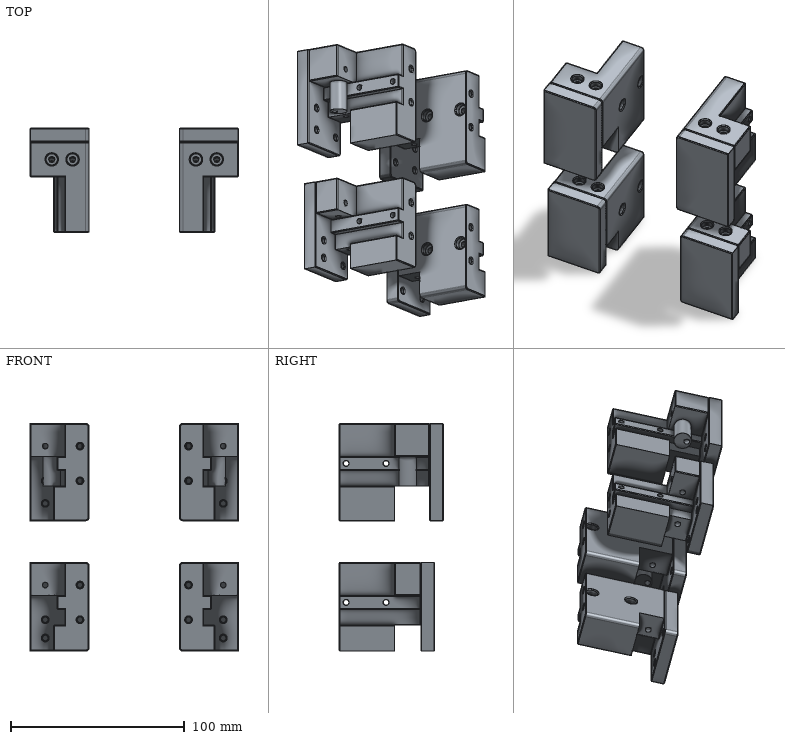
import cadquery as cq

overall_width = 120.0
overall_height = 131.0
unit_width = 34.0

leg_length = 32.0
leg_face_x = 20.0
rail_face_x = 15.5
foot_face_x = 13.5
block_height = 19.0
rail_bottom = 27.0
foot_top = 36.0
plate_thickness = 8.0
edge_chamfer = 0.5
inner_radius = 2.0

hole_diameter = 3.2
counterbore_diameter = 6.5
counterbore_depth = 3.5
mouth_chamfer = 0.6
screw_xs = (12.5, 24.5)
bolt_outer_x = 8.75
bolt_inner_x = bolt_outer_x + 20.0
bolt_upper_z = -13.0
bolt_lower_z = bolt_upper_z - 20.0
rail_hole_z = -(block_height + rail_bottom) / 2
rail_hole_ys = (4.0, 27.0)
plate_hole_depth = 6.0

post_diameter = 10.0
post_xs = (12.5, leg_face_x + post_diameter / 2)
post_y = leg_length + 7.5
post_top = -6.0

tall = dict(height=56.0, block_depth=20.0, plate_hole_z=-46.0, has_posts=True)
short = dict(height=51.0, block_depth=15.0, plate_hole_z=-43.5, has_posts=False)

backward = (0, 1, 0)
downward = (0, 0, -1)
inward = (1, 0, 0)
outward = (-1, 0, 0)


def slab(x_range, y_range, z_range):
    """Box between two X, two Y and two Z limits."""
    (x0, x1), (y0, y1), (z0, z1) = x_range, y_range, z_range
    return cq.Workplane("XY").box(x1 - x0, y1 - y0, z1 - z0, centered=False).translate((x0, y0, z0))


def rod(start, direction, diameter, length):
    """Cylinder from a start point along a direction."""
    cylinder = cq.Solid.makeCylinder(diameter / 2, length, cq.Vector(*start), cq.Vector(*direction))
    return cq.Workplane(cylinder)


def drill(start, direction, diameter, length):
    """Hole cutter with a chamfered mouth at its start point."""
    radius = diameter / 2
    mouth = cq.Solid.makeCone(
        radius + mouth_chamfer, radius, mouth_chamfer, cq.Vector(*start), cq.Vector(*direction)
    )
    return rod(start, direction, diameter, length).union(cq.Workplane(mouth))


def leg_blank(unit):
    """Leg with its rail and foot; the foot ends where the block begins."""
    height = unit["height"]
    back = leg_length + unit["block_depth"]
    section = [
        (leg_face_x, 0),
        (unit_width, 0),
        (unit_width, -height),
        (foot_face_x, -height),
        (foot_face_x, -foot_top),
        (leg_face_x, -foot_top),
        (leg_face_x, -rail_bottom),
        (rail_face_x, -rail_bottom),
        (rail_face_x, -block_height),
        (leg_face_x, -block_height),
    ]
    leg = cq.Workplane("XZ").polyline(section).close().extrude(-back)
    leg = leg.edges("|Y and >X").fillet(inner_radius)
    outer_corners = [
        (leg_face_x, 0),
        (rail_face_x, -block_height),
        (rail_face_x, -rail_bottom),
        (foot_face_x, -foot_top),
    ]
    for x, z in outer_corners:
        corner_edge = cq.selectors.NearestToPointSelector((x, back / 2, z))
        leg = leg.edges(corner_edge).chamfer(edge_chamfer)
    leg = leg.faces("<Y").chamfer(edge_chamfer)
    return leg.cut(slab((0, unit_width), (leg_length, back), (-height, -foot_top)))


def bracket_blank(unit):
    """Leg and block joined, without holes."""
    back = leg_length + unit["block_depth"]
    block = slab((0, unit_width - inner_radius), (leg_length, back), (-block_height, 0))
    block = block.edges("<X or (<Y and >Z)").chamfer(edge_chamfer)
    blank = leg_blank(unit).union(block)
    return blank.faces(">Y").chamfer(edge_chamfer)


def bolt_holes(unit):
    """Cutters from front to back: a plain one in the block and two in the end of the leg."""
    depth = unit["block_depth"]
    cutters = [rod((bolt_outer_x, leg_length, bolt_upper_z), backward, hole_diameter, depth)]
    for z in (bolt_upper_z, bolt_lower_z):
        cutters.append(drill((bolt_inner_x, 0, z), backward, hole_diameter, leg_length + depth))
    return cutters


def screw_holes(unit):
    """Cutters of the counterbored screw holes, from the top down along the middle of the block."""
    y = leg_length + unit["block_depth"] / 2
    cutters = []
    for x in screw_xs:
        cutters.append(drill((x, y, 0), downward, counterbore_diameter, counterbore_depth))
        cutters.append(rod((x, y, 0), downward, hole_diameter, foot_top))
    return cutters


def rail_holes():
    """Cutters through rail and leg, counterbored on the inner side."""
    cutters = []
    for y in rail_hole_ys:
        cutters.append(rod((0, y, rail_hole_z), inward, hole_diameter, unit_width))
        inner_point = (unit_width, y, rail_hole_z)
        cutters.append(drill(inner_point, outward, counterbore_diameter, counterbore_depth))
    return cutters


def make_bracket(unit):
    """Bracket; the posts of a tall one close the bolt holes where they cross them."""
    body = bracket_blank(unit)
    for cutter in bolt_holes(unit):
        body = body.cut(cutter)
    if unit["has_posts"]:
        for x in post_xs:
            body = body.union(rod((x, post_y, post_top), downward, post_diameter, foot_top + post_top))
    for cutter in screw_holes(unit) + rail_holes():
        body = body.cut(cutter)
    return body


def make_plate(unit):
    """Plate on the back of the bracket, with blind holes in its front face."""
    front = leg_length + unit["block_depth"]
    body = slab((0, unit_width), (front, front + plate_thickness), (-unit["height"], 0))
    body = body.edges("|Y and >X").fillet(inner_radius)
    body = body.faces("<Y or >Y").chamfer(edge_chamfer)
    hole_places = [
        (bolt_outer_x, bolt_lower_z),
        (bolt_outer_x, unit["plate_hole_z"]),
        (bolt_inner_x, unit["plate_hole_z"]),
    ]
    for x, z in hole_places:
        body = body.cut(drill((x, front, z), backward, hole_diameter, plate_hole_depth))
    return body


bodies = []
for unit, top in ((tall, overall_height), (short, short["height"])):
    for make_body in (make_bracket, make_plate):
        left_body = make_body(unit).translate((-overall_width / 2, 0, top))
        right_body = left_body.mirror("YZ")
        bodies += [left_body.val(), right_body.val()]

result = cq.Compound.makeCompound(bodies)